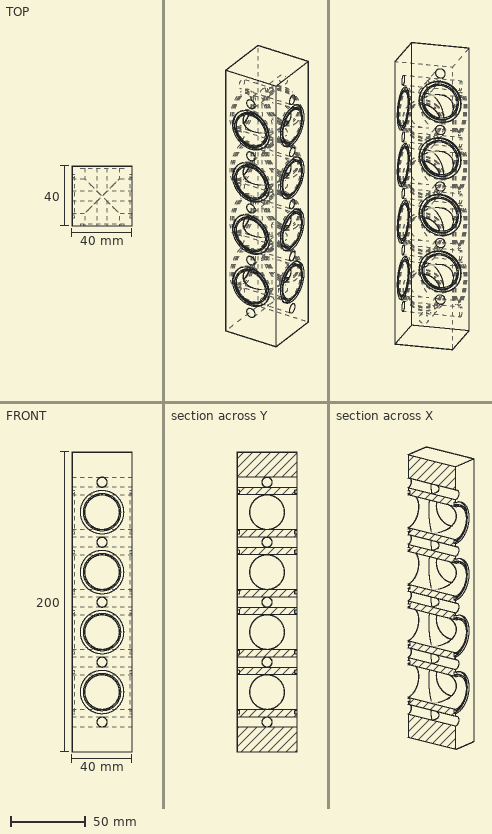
import cadquery as cq

BAR_LENGTH = 200.0
BAR_WIDTH = 40.0

BORE_COUNT = 4
SMALL_HOLE_COUNT = BORE_COUNT + 1
PITCH = BAR_LENGTH / (BORE_COUNT + 1)
SMALL_HOLE_DIAMETER = 6.5
BORE_DIAMETER = 23.0

GROOVE_OUTER_DIAMETER = 29.0
GROOVE_INNER_DIAMETER = 25.0
GROOVE_DEPTH = 1.5


def column_of_points(count):
    """Points spaced by the pitch along Z, centred on the bar."""
    return [(0, (i - (count - 1) / 2) * PITCH) for i in range(count)]


def face_plane(offset):
    """Workplane facing -Y, at the given distance from the bar axis toward -Y."""
    return cq.Workplane("XZ").workplane(offset=offset)


def through_holes(diameter, count):
    """Row of cylinders along Y that cross the whole bar."""
    start = face_plane(-BAR_WIDTH / 2)
    return start.pushPoints(column_of_points(count)).circle(diameter / 2).extrude(BAR_WIDTH)


def ring_grooves(offset):
    """Row of rings, one groove deep, starting at the given offset toward -Y."""
    centres = column_of_points(BORE_COUNT)
    outer = face_plane(offset).pushPoints(centres).circle(GROOVE_OUTER_DIAMETER / 2).extrude(GROOVE_DEPTH)
    inner = face_plane(offset).pushPoints(centres).circle(GROOVE_INNER_DIAMETER / 2).extrude(GROOVE_DEPTH)
    return outer.cut(inner)


def cut_both_ways(body, cutter):
    """Cut along Y, then along X with the same cutter turned about Z."""
    return body.cut(cutter).cut(cutter.rotate((0, 0, 0), (0, 0, 1), 90))


result = cq.Workplane("XY").box(BAR_WIDTH, BAR_WIDTH, BAR_LENGTH)
result = cut_both_ways(result, through_holes(BORE_DIAMETER, BORE_COUNT))
result = cut_both_ways(result, through_holes(SMALL_HOLE_DIAMETER, SMALL_HOLE_COUNT))

for groove_start in (BAR_WIDTH / 2 - GROOVE_DEPTH, -BAR_WIDTH / 2):
    result = cut_both_ways(result, ring_grooves(groove_start))